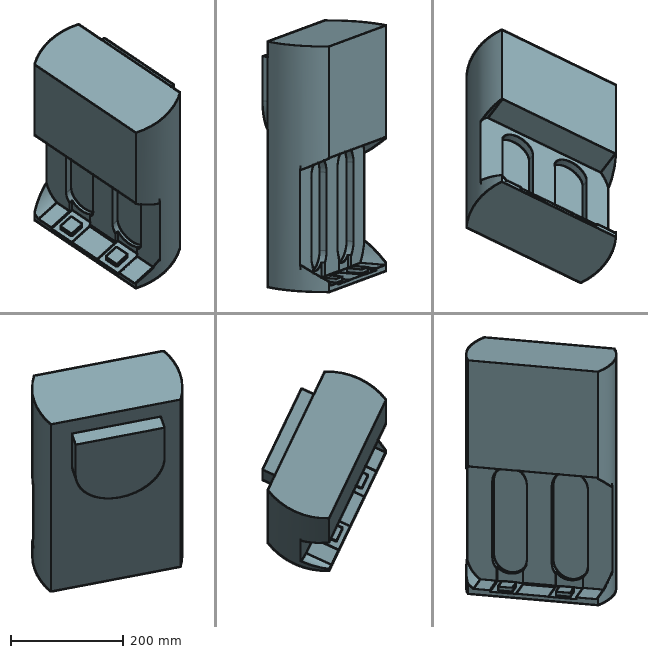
import cadquery as cq

height = 445.5
body_width = 268.5
flat_width = 239.3
body_depth = 121.0
front = -body_depth / 2
back = body_depth / 2

opening_depth = 50.0
wall = front + opening_depth
opening_top = 243.3
floor_left = 10.5
floor_right = 11.5
opening_top_end = 118.0
floor_end_left = 109.5
floor_end_right = 117.0
edge_x = body_width / 2
side_reach = edge_x + 4.5
corner_x = flat_width / 2

lower_left_z = 50.5
lower_left_mid = (-126.5, 29.0)
lower_right_z = 51.5
lower_right_mid = (128.0, 29.5)
upper_left_z = 218.5
upper_left_mid = (-128.5, 232.5)
upper_right_z = 206.5
upper_right_mid = (128.5, 226.5)

left_groove = (-55.5, 63.5, 24.0, 230.0)
right_groove = (55.2, 67.0, 21.5, 231.5)
groove_depth = 14.0

left_channel = (-79.5, -31.0)
right_channel = (28.5, 79.5)
channel_depth = 6.5
channel_floor = 8.0

middle_floor = 8.5
rail_depth = 1.5

pad_centers = (-54.0, 52.5)
pad_width = 26.7
pad_length = 30.0
pad_top = 15.0
pad_front_gap = 10.2
pad_corner = 2.0

plate_width = 164.0
plate_x = -1.0
plate_thickness = 27.5
plate_top = 410.5
plate_arc_z = 329.5


def box(x0, x1, y0, y1, z0, z1):
    """Box given by its limits along each axis."""
    return cq.Workplane("XY").box(x1 - x0, y1 - y0, z1 - z0, centered=False).translate((x0, y0, z0))


def front_sketch(y):
    """Workplane in X and Z at the given y; positive extrusion goes toward the front."""
    return cq.Workplane("XZ", origin=(0, y, 0))


def make_body():
    return (
        cq.Workplane("XY")
        .moveTo(-corner_x, front)
        .lineTo(corner_x, front)
        .threePointArc((edge_x, 0), (corner_x, back))
        .lineTo(-corner_x, back)
        .threePointArc((-edge_x, 0), (-corner_x, front))
        .close()
        .extrude(height)
    )


def make_opening():
    """Full-width opening whose corners curve in toward the flat front."""
    return (
        front_sketch(wall)
        .moveTo(-floor_end_left, floor_left)
        .lineTo(floor_end_right, floor_right)
        .threePointArc(lower_right_mid, (edge_x, lower_right_z))
        .lineTo(side_reach, lower_right_z)
        .lineTo(side_reach, upper_right_z)
        .lineTo(edge_x, upper_right_z)
        .threePointArc(upper_right_mid, (opening_top_end, opening_top))
        .lineTo(-opening_top_end, opening_top)
        .threePointArc(upper_left_mid, (-edge_x, upper_left_z))
        .lineTo(-side_reach, upper_left_z)
        .lineTo(-side_reach, lower_left_z)
        .lineTo(-edge_x, lower_left_z)
        .threePointArc(lower_left_mid, (-floor_end_left, floor_left))
        .close()
        .extrude(opening_depth)
    )


def make_groove(center_x, width, bottom, top):
    return (
        front_sketch(wall + groove_depth)
        .center(center_x, (bottom + top) / 2)
        .slot2D(top - bottom, width, 90)
        .extrude(groove_depth)
    )


def make_channel(left, right, groove):
    """Cut running up the wall into the groove and out along the floor."""
    _, groove_width, groove_bottom, _ = groove
    groove_arc_z = groove_bottom + groove_width / 2
    return box(left, right, front, wall + channel_depth, channel_floor, groove_arc_z)


def make_middle_recess():
    return box(left_channel[1], right_channel[0], front, wall - rail_depth, middle_floor, floor_right)


def make_pad(center_x):
    pad_front = front + pad_front_gap
    half = pad_width / 2
    pad = box(center_x - half, center_x + half, pad_front, pad_front + pad_length, channel_floor, pad_top)
    return pad.edges("|Z").fillet(pad_corner)


def make_plate():
    radius = plate_width / 2
    return (
        front_sketch(back + plate_thickness)
        .moveTo(plate_x - radius, plate_top)
        .lineTo(plate_x + radius, plate_top)
        .lineTo(plate_x + radius, plate_arc_z)
        .threePointArc((plate_x, plate_arc_z - radius), (plate_x - radius, plate_arc_z))
        .close()
        .extrude(plate_thickness)
    )


result = make_body().cut(make_opening()).cut(make_middle_recess())
for groove, channel in ((left_groove, left_channel), (right_groove, right_channel)):
    result = result.cut(make_groove(*groove))
    result = result.cut(make_channel(*channel, groove))
for pad_center in pad_centers:
    result = result.union(make_pad(pad_center))
result = result.union(make_plate())